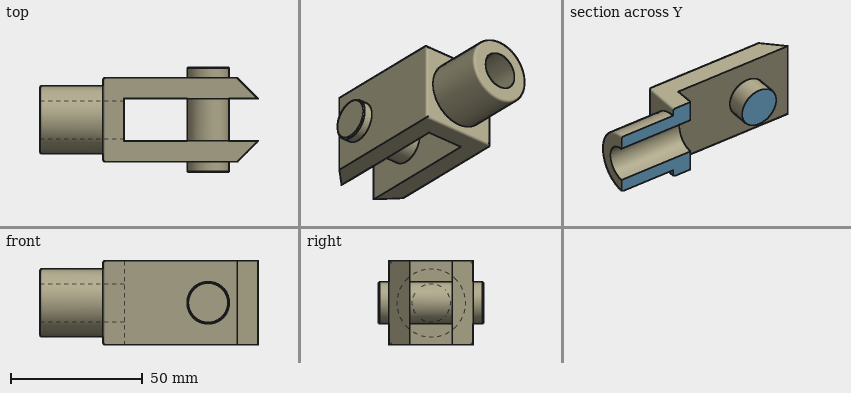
import cadquery as cq

total_length = 83.0
body_width = 32.0
shank_length = 24.0
shank_diameter = 26.0
bore_diameter = 14.5
shank_end_fillet = 1.0
body_back_fillet = 1.0

slot_width = 16.0
slot_start = 32.0
prong_thickness = (body_width - slot_width) / 2

pin_diameter = 16.0
pin_length = 40.0
pin_position = 64.0
pin_end_chamfer = 0.5


def make_shank():
    shank = cq.Workplane("YZ").circle(shank_diameter / 2).extrude(shank_length)
    return shank.faces("<X").edges().fillet(shank_end_fillet)


def make_body():
    """Square block whose outer sides taper at 45 degrees to the prong tips."""
    half_width = body_width / 2
    taper_start = total_length - prong_thickness
    block = (
        cq.Workplane("XY")
        .workplane(offset=-body_width / 2)
        .moveTo(shank_length, -half_width)
        .lineTo(taper_start, -half_width)
        .lineTo(total_length, -slot_width / 2)
        .lineTo(total_length, slot_width / 2)
        .lineTo(taper_start, half_width)
        .lineTo(shank_length, half_width)
        .close()
        .extrude(body_width)
    )
    return block.faces("<X").edges().fillet(body_back_fillet)


def make_slot():
    """Gap between the prongs, open at the front end."""
    return cq.Workplane("XY").box(
        total_length - slot_start, slot_width, body_width, centered=(False, True, True)
    ).translate((slot_start, 0, 0))


def make_bore():
    """Axial hole through the shank into the slot."""
    return cq.Workplane("YZ").circle(bore_diameter / 2).extrude(slot_start)


def make_pin():
    pin = (
        cq.Workplane("XZ")
        .workplane(offset=-pin_length / 2)
        .center(pin_position, 0)
        .circle(pin_diameter / 2)
        .extrude(pin_length)
    )
    return pin.faces("<Y or >Y").edges().chamfer(pin_end_chamfer)


clevis = make_shank().union(make_body()).cut(make_slot()).cut(make_bore())
result = clevis.union(make_pin())